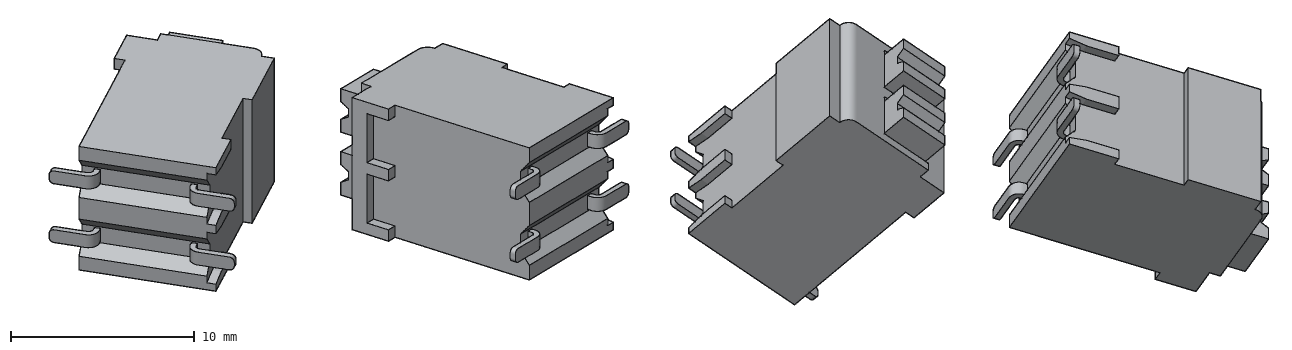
import cadquery as cq


pole_pitch = 3.81
pole_heights = (-pole_pitch / 2, pole_pitch / 2)

housing_height = 8.0
half_width = 3.63
flange_left = -4.24
wall_right = 4.14
front_y = 0.24
rear_y = 11.75
crown_rear_y = 12.4
crown_left = -2.49
crown_right = 3.41
crown_radius = crown_rear_y - rear_y

flange_front_y = 9.3
flange_window_end_y = 10.75
flange_tooth_height = 0.69

right_notch_start_y = 3.2
right_notch_end_y = 7.37
right_pocket_half_height = 1.47
right_pocket_mouth_half_height = 1.63
right_pocket_lead_in = 1.04

groove_floor_y = 0.83
groove_mouth_half_height = 1.2
groove_floor_half_height = 0.51

slot_half_height = 1.41
slot_mouth_half_height = 1.52
slot_lead_in = 0.26
button_clearance = 0.08

button_left = crown_left + button_clearance
button_right = 0.62
button_half_height = 1.32
button_rear_y = 13.85
button_notch_depth = 0.51
button_notch_mouth_half_height = 0.54
button_notch_floor_half_height = 0.25

tail_half_span = 5.25
tail_width = 0.83
tail_thickness = 0.35
tail_post_inner_x = 2.58
tail_bend_radius = 0.61
tail_corner_radius = 0.28
tail_embed_depth = 0.42


def box(x_range, y_range, z_range):
    """Box given by its limits along each axis."""
    size = [limits[1] - limits[0] for limits in (x_range, y_range, z_range)]
    start = (x_range[0], y_range[0], z_range[0])
    return cq.Workplane("XY").box(*size, centered=False).translate(start)


def bar_along_x(yz_points, x_start, x_end):
    """Prism with a YZ outline, running along X."""
    return cq.Workplane("YZ").workplane(offset=x_start).polyline(yz_points).close().extrude(x_end - x_start)


def flared_outline(z_mid, deep_y, flare_y, mouth_y, deep_half, mouth_half):
    """YZ outline that keeps deep_half from deep_y to flare_y, then widens to mouth_half at mouth_y."""
    return [
        (deep_y, z_mid - deep_half),
        (flare_y, z_mid - deep_half),
        (mouth_y, z_mid - mouth_half),
        (mouth_y, z_mid + mouth_half),
        (flare_y, z_mid + deep_half),
        (deep_y, z_mid + deep_half),
    ]


def tapered_outline(z_mid, floor_y, mouth_y, floor_half, mouth_half):
    """YZ outline of a groove with straight sloping sides."""
    return [
        (floor_y, z_mid - floor_half),
        (mouth_y, z_mid - mouth_half),
        (mouth_y, z_mid + mouth_half),
        (floor_y, z_mid + floor_half),
    ]


def make_housing():
    """Plain housing: one XY outline carried through the full height."""
    return (
        cq.Workplane("XY")
        .workplane(offset=-housing_height / 2)
        .moveTo(-half_width, front_y)
        .lineTo(wall_right, front_y)
        .lineTo(wall_right, right_notch_start_y)
        .lineTo(half_width, right_notch_start_y)
        .lineTo(half_width, right_notch_end_y)
        .lineTo(wall_right, right_notch_end_y)
        .lineTo(wall_right, rear_y)
        .lineTo(crown_right, rear_y)
        .radiusArc((crown_right - crown_radius, crown_rear_y), -crown_radius)
        .lineTo(crown_left, crown_rear_y)
        .lineTo(crown_left, rear_y)
        .lineTo(flange_left, rear_y)
        .lineTo(flange_left, flange_front_y)
        .lineTo(-half_width, flange_front_y)
        .close()
        .extrude(housing_height)
    )


def flange_windows():
    """Openings that leave three equal teeth on the clip flange."""
    window_height = (housing_height - 3 * flange_tooth_height) / 2
    windows = cq.Workplane("XY")
    for side in (-1, 1):
        inner_z = side * flange_tooth_height / 2
        outer_z = inner_z + side * window_height
        z_range = sorted((inner_z, outer_z))
        windows = windows.add(
            box((flange_left, -half_width), (flange_front_y, flange_window_end_y), z_range)
        )
    return windows.combine()


def front_groove(z_mid):
    """V-groove that gives the solder tails room across the front face."""
    outline = tapered_outline(
        z_mid,
        groove_floor_y,
        front_y,
        groove_floor_half_height,
        groove_mouth_half_height,
    )
    return bar_along_x(outline, -half_width, half_width)


def right_pocket(z_mid):
    """Recess in the front part of the right wall, widening toward the front face."""
    outline = flared_outline(
        z_mid,
        right_notch_start_y,
        front_y + right_pocket_lead_in,
        front_y,
        right_pocket_half_height,
        right_pocket_mouth_half_height,
    )
    return bar_along_x(outline, half_width, wall_right)


def crown_slot(z_mid):
    """Slot in the crown, open to the left and rear, with a widened mouth for the button."""
    outline = flared_outline(
        z_mid,
        rear_y,
        crown_rear_y - slot_lead_in,
        crown_rear_y,
        slot_half_height,
        slot_mouth_half_height,
    )
    return bar_along_x(outline, crown_left, button_right + button_clearance)


def button(z_mid):
    """Push button standing on the slot floor, with a screwdriver notch across its top."""
    body = box(
        (button_left, button_right),
        (rear_y, button_rear_y),
        (z_mid - button_half_height, z_mid + button_half_height),
    )
    notch = tapered_outline(
        z_mid,
        button_rear_y - button_notch_depth,
        button_rear_y,
        button_notch_floor_half_height,
        button_notch_mouth_half_height,
    )
    return body.cut(bar_along_x(notch, button_left, button_right))


def solder_tail(z_mid):
    """Right-hand tail: a post out of the groove floor, bent outward into a flat round-cornered foot."""
    post_outer_x = tail_post_inner_x + tail_thickness
    bend_end_x = tail_post_inner_x + tail_bend_radius
    inner_bend_radius = tail_bend_radius - tail_thickness
    post_end_y = groove_floor_y + tail_embed_depth
    return (
        cq.Workplane("XY")
        .workplane(offset=z_mid - tail_width / 2)
        .moveTo(tail_post_inner_x, post_end_y)
        .lineTo(tail_post_inner_x, tail_bend_radius)
        .radiusArc((bend_end_x, 0), -tail_bend_radius)
        .lineTo(tail_half_span, 0)
        .lineTo(tail_half_span, tail_thickness)
        .lineTo(bend_end_x, tail_thickness)
        .radiusArc((post_outer_x, tail_bend_radius), inner_bend_radius)
        .lineTo(post_outer_x, post_end_y)
        .close()
        .extrude(tail_width)
        .faces(">X")
        .edges("|Y")
        .fillet(tail_corner_radius)
    )


result = make_housing().cut(flange_windows())
for pole_z in pole_heights:
    result = result.cut(front_groove(pole_z)).cut(right_pocket(pole_z)).cut(crown_slot(pole_z))
    right_tail = solder_tail(pole_z)
    result = result.union(button(pole_z)).union(right_tail).union(right_tail.mirror("YZ"))